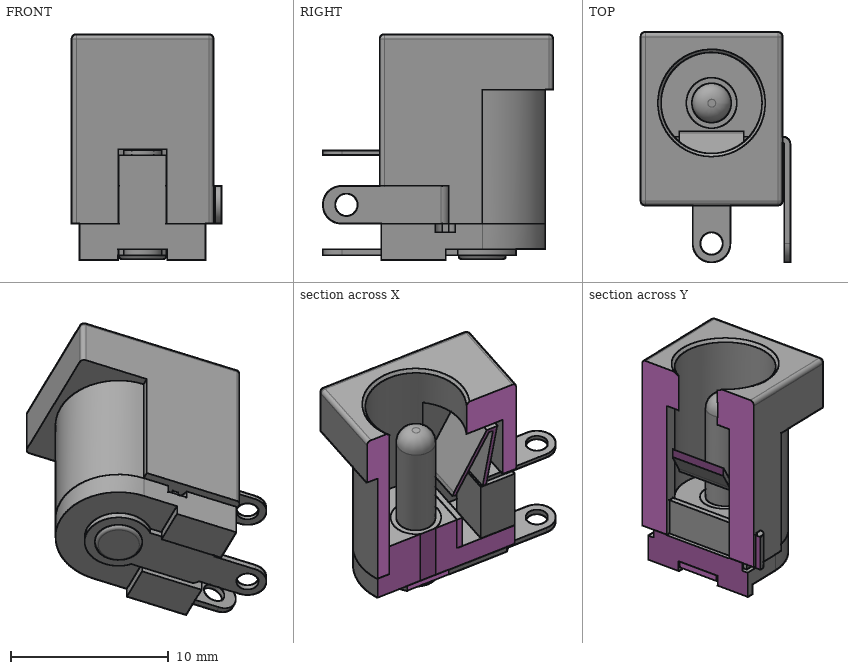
import cadquery as cq
import math


housing_width = 9.0
housing_front = -6.5
housing_back = 4.5
housing_height = 12.0
edge_radius = 0.3
barrel_radius = 4.0
ledge_height = 8.5
bore_radius = 3.2
bore_chamfer = 0.2

tab_width = 2.4
tab_end = -10.1
tab_hole_diameter = 1.4
tab_round_center = tab_end + tab_width / 2
side_hole_offset = 0.3
plate_thickness = 0.4
spring_thickness = 0.3

base_width = 2 * barrel_radius
base_setback = 0.1
base_front = housing_front + base_setback
base_underside = -1.6
foot_underside = -2.3
foot_back = -2.3
foot_groove_width = 3.1
tongue_width = 3.0
tongue_height = 4.35
tongue_back = -3.9
slot_clearance = 0.06
tongue_slot_width = tongue_width + slot_clearance
notch_radius = 0.63
notch_depth = 0.53

cross_plate_back = -2.13
cross_plate_front = cross_plate_back - plate_thickness
cross_plate_middle = (cross_plate_back + cross_plate_front) / 2
cross_plate_end = 3.7
cross_plate_height = tab_width
plate_foot_length = 0.28
side_bend_radius = 0.1
side_tab_inner = housing_width / 2 + side_bend_radius
side_tab_outer = side_tab_inner + plate_thickness

pin_radius = 1.25
pin_top = 9.8
pin_dome_radius = 1.0
pin_root_radius = 1.6
rivet_neck_radius = 0.8
rivet_head_radius = 1.5
rivet_head_height = 0.25
rivet_head_fillet = 0.2
bore_floor = cross_plate_height

disc_radius = 2.15
strip_width = 3.0
shoulder_depth = (strip_width - tab_width) / 2
shoulder_setback = 0.3
shoulder_front = base_front + shoulder_setback
pin_terminal_underside = base_underside - plate_thickness

spring_width = 4.1
spring_foot = -4.3
spring_top = 9.0
spring_fold_length = 0.8
spring_bend = -1.9
spring_tip = -1.8
rear_leg_lean = math.radians(10)
contact_leg_lean = math.radians(30)
tip_lean = math.radians(20)
pocket_width = 5.0
pocket_front = -5.5
pocket_top = 9.3


def block(x_min, x_max, y_min, y_max, z_min, z_max):
    """Box between the given limits."""
    size = (x_max - x_min, y_max - y_min, z_max - z_min)
    return cq.Workplane("XY").box(*size, centered=False).translate((x_min, y_min, z_min))


def centered_block(width, y_min, y_max, z_min, z_max):
    """Box symmetric about the YZ plane."""
    return block(-width / 2, width / 2, y_min, y_max, z_min, z_max)


def cylinder(radius, z_min, z_max, x=0, y=0):
    """Upright cylinder between two heights."""
    return cq.Workplane("XY", origin=(x, y, z_min)).circle(radius).extrude(z_max - z_min)


def solder_tab(inner_end, thickness, hole_center):
    """Flat tab on Z = 0 pointing to -Y, with a round end and a wire hole."""
    return (
        cq.Workplane("XY")
        .moveTo(tab_width / 2, inner_end)
        .lineTo(tab_width / 2, tab_round_center)
        .threePointArc((0, tab_end), (-tab_width / 2, tab_round_center))
        .lineTo(-tab_width / 2, inner_end)
        .close()
        .moveTo(0, hole_center)
        .circle(tab_hole_diameter / 2)
        .extrude(thickness)
    )


def make_housing():
    body = centered_block(housing_width, housing_front, housing_back, 0, housing_height)
    body = body.edges("|Z or >Z").fillet(edge_radius)

    back_region = centered_block(housing_width, 0, housing_back, 0, ledge_height)
    body = body.cut(back_region.cut(cylinder(barrel_radius, 0, ledge_height)))

    body = body.cut(cylinder(bore_radius, 0, housing_height))
    mouth = (
        cq.Workplane("XY", origin=(0, 0, housing_height - bore_chamfer))
        .circle(bore_radius)
        .workplane(offset=bore_chamfer)
        .circle(bore_radius + bore_chamfer)
        .loft()
    )
    body = body.cut(mouth)

    body = body.cut(centered_block(pocket_width, pocket_front, 0, 0, pocket_top))
    slot_height = tongue_height + spring_thickness + slot_clearance
    body = body.cut(centered_block(tongue_slot_width, housing_front, pocket_front, 0, slot_height))

    return body.cut(
        block(
            -cross_plate_end, housing_width / 2,
            cross_plate_front, cross_plate_back,
            0, cross_plate_height,
        )
    )


def make_base():
    body = centered_block(base_width, base_front, 0, base_underside, 0)
    body = body.union(cylinder(barrel_radius, base_underside, 0))

    foot = centered_block(base_width, base_front, foot_back, foot_underside, base_underside)
    groove = centered_block(foot_groove_width, base_front, foot_back, foot_underside, base_underside)
    body = body.union(foot.cut(groove))

    plug = cylinder(bore_radius, 0, bore_floor)
    plug = plug.intersect(
        centered_block(2 * bore_radius, cross_plate_back, bore_radius, 0, bore_floor)
    )
    body = body.union(plug)

    body = body.union(centered_block(tongue_width, base_front, tongue_back, 0, tongue_height))

    for side in (-1, 1):
        notch = cylinder(notch_radius, -notch_depth, 0, side * base_width / 2, cross_plate_middle)
        body = body.cut(notch)

    return body.cut(cylinder(pin_root_radius, base_underside, bore_floor))


def make_pin():
    body = cylinder(pin_radius, bore_floor, pin_top).faces(">Z").edges().fillet(pin_dome_radius)
    body = body.union(cylinder(pin_root_radius, base_underside, bore_floor))
    body = body.union(cylinder(rivet_neck_radius, pin_terminal_underside, base_underside))
    head = cylinder(
        rivet_head_radius,
        pin_terminal_underside - rivet_head_height,
        pin_terminal_underside,
    )
    return body.union(head.faces("<Z").edges().fillet(rivet_head_fillet))


def make_pin_terminal():
    disc = cq.Workplane("XY").circle(disc_radius).extrude(plate_thickness)
    shoulder_back = shoulder_front + shoulder_depth
    strip = (
        cq.Workplane("XY")
        .moveTo(strip_width / 2, 0)
        .lineTo(strip_width / 2, shoulder_back)
        .lineTo(tab_width / 2, shoulder_front)
        .lineTo(-tab_width / 2, shoulder_front)
        .lineTo(-strip_width / 2, shoulder_back)
        .lineTo(-strip_width / 2, 0)
        .close()
        .extrude(plate_thickness)
    )
    tab = solder_tab(shoulder_front, plate_thickness, tab_round_center)
    rivet_hole = cylinder(rivet_neck_radius, 0, plate_thickness)
    body = disc.union(strip).union(tab).cut(rivet_hole)
    return body.translate((0, 0, pin_terminal_underside))


def make_side_terminal():
    bend_outer_radius = side_bend_radius + plate_thickness
    bend_x = housing_width / 2
    bend_y = cross_plate_back - bend_outer_radius
    diagonal = math.sqrt(0.5)

    plate = (
        cq.Workplane("XY")
        .moveTo(-cross_plate_end, cross_plate_back)
        .lineTo(bend_x, cross_plate_back)
        .threePointArc(
            (bend_x + bend_outer_radius * diagonal, bend_y + bend_outer_radius * diagonal),
            (side_tab_outer, bend_y),
        )
        .lineTo(side_tab_inner, bend_y)
        .threePointArc(
            (bend_x + side_bend_radius * diagonal, bend_y + side_bend_radius * diagonal),
            (bend_x, cross_plate_front),
        )
        .lineTo(-cross_plate_end, cross_plate_front)
        .close()
        .extrude(cross_plate_height)
    )

    tab = solder_tab(bend_y, plate_thickness, tab_round_center + side_hole_offset)
    tab = tab.rotate((0, 0, 0), (0, 1, 0), 90)
    body = plate.union(tab.translate((side_tab_inner, 0, tab_width / 2)))

    for foot_x in (-cross_plate_end, cross_plate_end - plate_foot_length):
        foot = block(
            foot_x, foot_x + plate_foot_length,
            cross_plate_front, cross_plate_back,
            -notch_depth, 0,
        )
        body = body.union(foot)
    return body


def offset_path(points, distance):
    """Open path moved sideways to its right, with mitred corners."""
    angles = [math.atan2(b[1] - a[1], b[0] - a[0]) for a, b in zip(points, points[1:])]
    before = angles[:1] + angles
    after = angles + angles[-1:]
    moved = []
    for (u, v), angle_in, angle_out in zip(points, before, after):
        bisector = (angle_in + angle_out) / 2
        reach = distance / math.cos((angle_out - angle_in) / 2)
        moved.append((u + reach * math.sin(bisector), v - reach * math.cos(bisector)))
    return moved


def make_spring():
    fold_start = spring_foot - (spring_top - tongue_height) * math.tan(rear_leg_lean)
    fold_end = fold_start + spring_fold_length
    bend_height = spring_top - (spring_bend - fold_end) / math.tan(contact_leg_lean)
    tip_height = bend_height - (spring_tip - spring_bend) / math.tan(tip_lean)
    outer_face = [
        (spring_foot, tongue_height),
        (fold_start, spring_top),
        (fold_end, spring_top),
        (spring_bend, bend_height),
        (spring_tip, tip_height),
    ]
    inner_face = offset_path(outer_face, spring_thickness)
    leaf = (
        cq.Workplane("YZ")
        .polyline(outer_face + inner_face[::-1])
        .close()
        .extrude(spring_width / 2, both=True)
    )
    tab_inner_end = spring_foot + spring_thickness / 2
    tab = solder_tab(tab_inner_end, spring_thickness, tab_round_center)
    return leaf.union(tab.translate((0, 0, tongue_height)))


housing = make_housing()
base = make_base()
pin = make_pin()
pin_terminal = make_pin_terminal()
side_terminal = make_side_terminal()
spring = make_spring()

result = cq.Compound.makeCompound(
    [
        housing.solids().val(),
        base.solids().val(),
        pin.solids().val(),
        pin_terminal.solids().val(),
        side_terminal.solids().val(),
        spring.solids().val(),
    ]
)